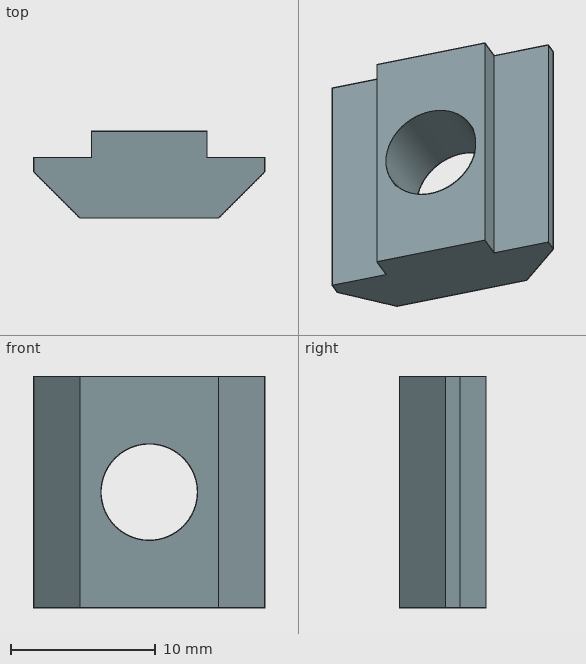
import cadquery as cq


width = 16.0
depth = 6.0
length = 16.0
neck_width = 8.0
neck_height = 1.8
chamfer = 3.2
hole_diameter = 6.65

half_width = width / 2
half_neck = neck_width / 2
front_half_width = half_width - chamfer
front_y = -depth / 2
back_y = depth / 2
slope_end_y = front_y + chamfer
shoulder_y = back_y - neck_height


def make_body():
    """Extrude the symmetric profile along the length of the nut."""
    right_half = [
        (front_half_width, front_y),
        (half_width, slope_end_y),
        (half_width, shoulder_y),
        (half_neck, shoulder_y),
        (half_neck, back_y),
    ]
    left_half = [(-x, y) for x, y in reversed(right_half)]
    profile = cq.Workplane("XY").polyline(right_half + left_half).close()
    return profile.extrude(length / 2, both=True)


def make_hole():
    """Cylinder along Y that passes through the full depth."""
    circle = cq.Workplane("XZ").circle(hole_diameter / 2)
    return circle.extrude(depth / 2, both=True)


result = make_body().cut(make_hole())